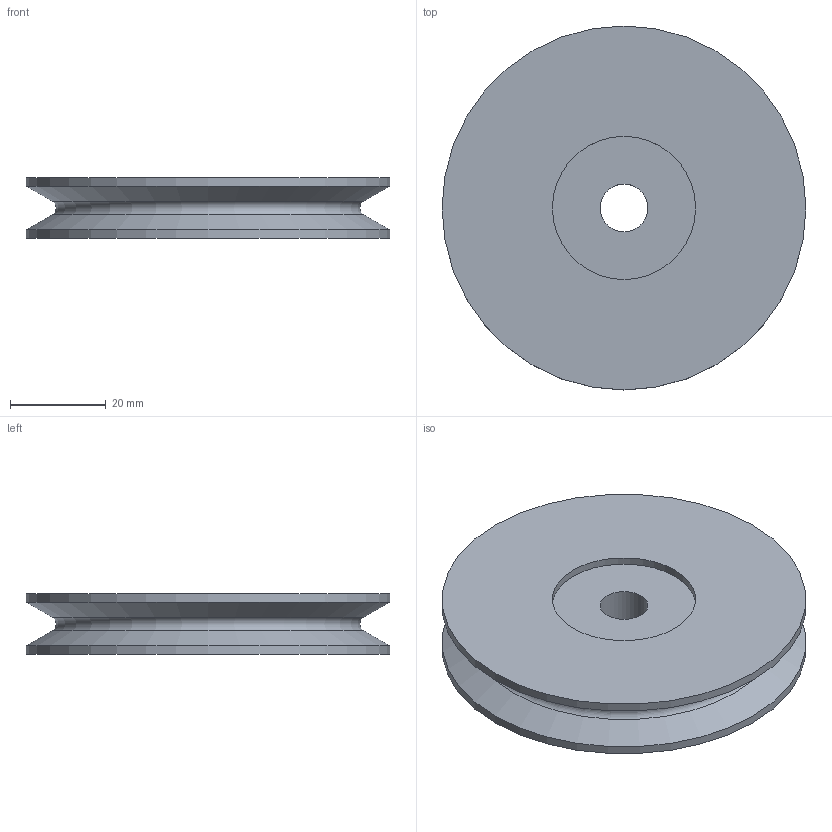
import cadquery as cq
import math

outer_diameter = 76.2
thickness = 12.7
bore_diameter = 10.0
recess_diameter = 30.0
recess_depth = 1.6
rim_width = 1.77
root_fillet_radius = 1.65
wall_angle = 30.0

outer_radius = outer_diameter / 2
half_thickness = thickness / 2
groove_half_width = half_thickness - rim_width
wall_slope = math.radians(wall_angle)
arc_half_height = root_fillet_radius * math.cos(wall_slope)
arc_end_radius = outer_radius - (groove_half_width - arc_half_height) / math.tan(wall_slope)
root_radius = arc_end_radius - root_fillet_radius * (1 - math.sin(wall_slope))


def make_wheel():
    """Solid V-groove wheel, revolved about Z and centred on the mid-plane."""
    profile = (
        cq.Workplane("XZ")
        .moveTo(0, -half_thickness)
        .lineTo(outer_radius, -half_thickness)
        .lineTo(outer_radius, -groove_half_width)
        .lineTo(arc_end_radius, -arc_half_height)
        .threePointArc((root_radius, 0), (arc_end_radius, arc_half_height))
        .lineTo(outer_radius, groove_half_width)
        .lineTo(outer_radius, half_thickness)
        .lineTo(0, half_thickness)
        .close()
    )
    return profile.revolve(360, (0, 0, 0), (0, 1, 0))


def cut_recess_and_bore(wheel):
    """Shallow round recess in the top face with a through bore at its centre."""
    recessed = wheel.faces(">Z").workplane().circle(recess_diameter / 2).cutBlind(-recess_depth)
    return recessed.faces(">Z").workplane().circle(bore_diameter / 2).cutThruAll()


result = cut_recess_and_bore(make_wheel())